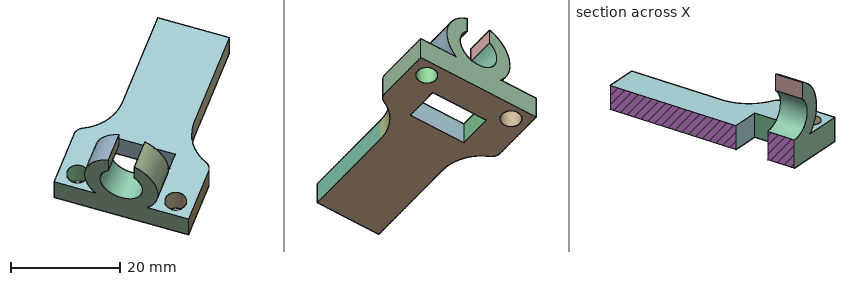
import cadquery as cq
import math

length = 41.05
foot_width = 26.0
stem_width = 13.85
thickness = 5.0
blend_start = 11.32
blend_end = 21.0
shoulder_radius = 2.0

clip_depth = 6.0
clip_outer_radius = 7.1
clip_inner_radius = 4.1
clip_center_z = 10.0
clip_gap = 5.0

window_width = 12.02
window_back = 13.0
hole_diameter = 4.0
hole_spacing = 18.95
hole_y = 3.05


def make_plate():
    """Extrude the plate outline, with two tangent arcs on each side."""
    foot_x = foot_width / 2
    stem_x = stem_width / 2
    step_x = foot_x - stem_x
    step_y = blend_end - blend_start

    radius_sum = (step_x**2 + step_y**2) / (2 * step_x)
    neck_radius = radius_sum - shoulder_radius
    sweep = math.asin(step_y / radius_sum)

    shoulder_center_x = foot_x - shoulder_radius
    neck_center_x = stem_x + neck_radius

    def on_shoulder(angle):
        return (shoulder_center_x + shoulder_radius * math.cos(angle),
                blend_start + shoulder_radius * math.sin(angle))

    def on_neck(angle):
        return (neck_center_x - neck_radius * math.cos(angle),
                blend_end - neck_radius * math.sin(angle))

    half = (
        cq.Workplane("XY")
        .lineTo(foot_x, 0)
        .lineTo(foot_x, blend_start)
        .threePointArc(on_shoulder(sweep / 2), on_shoulder(sweep))
        .threePointArc(on_neck(sweep / 2), (stem_x, blend_end))
        .lineTo(stem_x, length)
        .lineTo(0, length)
        .close()
        .extrude(thickness)
    )
    return half.union(half.mirror("YZ"))


def cylinder_along_y(radius):
    """Cylinder on the clip axis, as deep as the clip."""
    return (
        cq.Workplane("XZ")
        .center(0, clip_center_z)
        .circle(radius)
        .extrude(-clip_depth)
    )


def make_clip_opening():
    """Bore of the clip and the vertical gap above it."""
    gap = cq.Workplane("XY").box(
        clip_gap, clip_depth, clip_outer_radius, centered=(True, False, False)
    ).translate((0, 0, clip_center_z))
    return cylinder_along_y(clip_inner_radius).union(gap)


def make_window():
    """Rectangular opening directly behind the clip."""
    return cq.Workplane("XY").box(
        window_width, window_back - clip_depth, thickness, centered=(True, False, False)
    ).translate((0, clip_depth, 0))


def make_screw_holes():
    """Through holes on both sides of the clip."""
    return (
        cq.Workplane("XY")
        .pushPoints([(side * hole_spacing / 2, hole_y) for side in (-1, 1)])
        .circle(hole_diameter / 2)
        .extrude(thickness)
    )


result = (
    make_plate()
    .union(cylinder_along_y(clip_outer_radius))
    .cut(make_clip_opening())
    .cut(make_window())
    .cut(make_screw_holes())
)